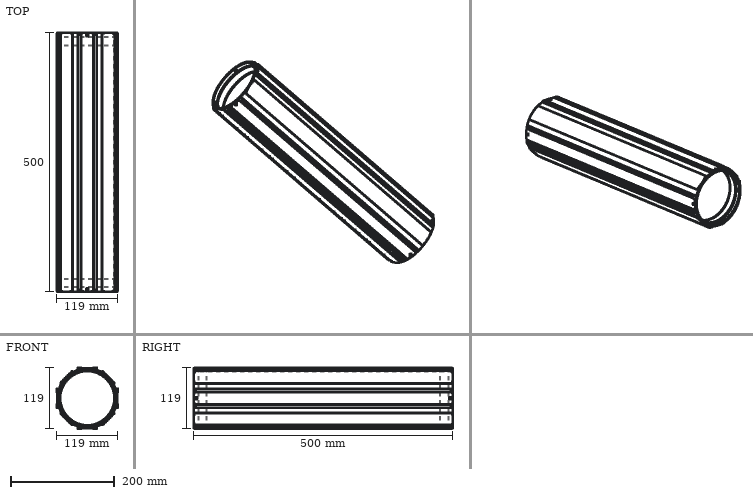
import cadquery as cq
import math

LENGTH = 500.0
END_Y = LENGTH / 2
BODY_RADIUS = 57.5
SIDES = 4
QUARTER = 360.0 / SIDES

FLOOR_HEIGHT = 58.0
FLOOR_HALF_WIDTH = 11.2
LIP_HEIGHT = 59.5
LIP_INNER = 12.7
LIP_OUTER = 18.9
LIP_BEVEL = 1.3
LIP_EDGE = 1.8
LIP_ROOT = 16.6

FLAT_HEIGHT = 57.52
FLAT_HALF_WIDTH = 16.0

BORE_RADIUS = 52.0
SEAT_RADIUS = 52.5
SEAT_DEPTH = 24.0
SEAT_TAPER = 1.5
MOUTH_RADIUS = 53.8
MOUTH_DEPTH = 8.0
MOUTH_TAPER = 2.0

HOLE_DIAMETER = 4.2
HOLE_INSET = 5.0

ROOT_HEIGHT = (BORE_RADIUS + BODY_RADIUS) / 2


def bar(points):
    """Full-length bar with the given X-Z outline."""
    return cq.Workplane("XZ", origin=(0, -END_Y, 0)).polyline(points).close().extrude(-LENGTH)


def turned(points):
    """Solid of revolution about Y from a radius-Y outline."""
    return cq.Workplane("XY").polyline(points).close().revolve(360, (0, 0, 0), (0, 1, 0))


def turn(shape, angle):
    """The shape turned about the tube axis."""
    return shape.rotate((0, 0, 0), (0, 1, 0), angle)


def raised_strip(half_width, height):
    """Strip with a flat top."""
    return bar([
        (-half_width, ROOT_HEIGHT),
        (-half_width, height),
        (half_width, height),
        (half_width, ROOT_HEIGHT),
    ])


def lip(side):
    """Lip on the right (side 1) or left (side -1) of a track, undercut on its outer side."""
    outline = [
        (LIP_ROOT, ROOT_HEIGHT),
        (LIP_ROOT, math.sqrt(BODY_RADIUS**2 - LIP_ROOT**2)),
        (LIP_OUTER, LIP_HEIGHT - LIP_EDGE),
        (LIP_OUTER, LIP_HEIGHT - LIP_BEVEL),
        (LIP_OUTER - LIP_BEVEL, LIP_HEIGHT),
        (LIP_INNER, LIP_HEIGHT),
        (FLOOR_HALF_WIDTH, FLOOR_HEIGHT),
        (FLOOR_HALF_WIDTH, ROOT_HEIGHT),
    ]
    return bar([(side * x, z) for x, z in outline])


def outside():
    """Round body with its tracks and flats."""
    body = cq.Workplane("XZ", origin=(0, -END_Y, 0)).circle(BODY_RADIUS).extrude(-LENGTH)
    floor = raised_strip(FLOOR_HALF_WIDTH, FLOOR_HEIGHT)
    flat = raised_strip(FLAT_HALF_WIDTH, FLAT_HEIGHT)
    for i in range(SIDES):
        angle = i * QUARTER
        body = body.union(turn(flat, angle + QUARTER / 2))
        body = body.union(turn(floor, angle))
        for side in (-1, 1):
            body = body.union(turn(lip(side), angle))
    return body


def bevel_envelope():
    """Turned limit that bevels all that stands above the round body by 45 degrees at both ends."""
    outermost = math.hypot(LIP_HEIGHT, LIP_OUTER)
    bevel = outermost - BODY_RADIUS
    return turned([
        (0, -END_Y),
        (BODY_RADIUS, -END_Y),
        (outermost, -END_Y + bevel),
        (outermost, END_Y - bevel),
        (BODY_RADIUS, END_Y),
        (0, END_Y),
    ])


def bore():
    """Through bore with a seat and a wider mouth at each end."""
    near_half = [
        (0, -END_Y),
        (MOUTH_RADIUS, -END_Y),
        (MOUTH_RADIUS, -END_Y + MOUTH_DEPTH),
        (SEAT_RADIUS, -END_Y + MOUTH_DEPTH + MOUTH_TAPER),
        (SEAT_RADIUS, -END_Y + SEAT_DEPTH),
        (BORE_RADIUS, -END_Y + SEAT_DEPTH + SEAT_TAPER),
    ]
    far_half = [(radius, -y) for radius, y in reversed(near_half)]
    return turned(near_half + far_half)


def drill_cross_holes(part):
    """Radial holes through the wall in the middle of each track floor."""
    for y in (-END_Y + HOLE_INSET, END_Y - HOLE_INSET):
        drill = cq.Workplane("XY", origin=(0, y, 0)).circle(HOLE_DIAMETER / 2).extrude(LIP_HEIGHT)
        for i in range(SIDES):
            part = part.cut(turn(drill, i * QUARTER))
    return part


tube = outside().intersect(bevel_envelope()).cut(bore())
result = drill_cross_holes(tube)